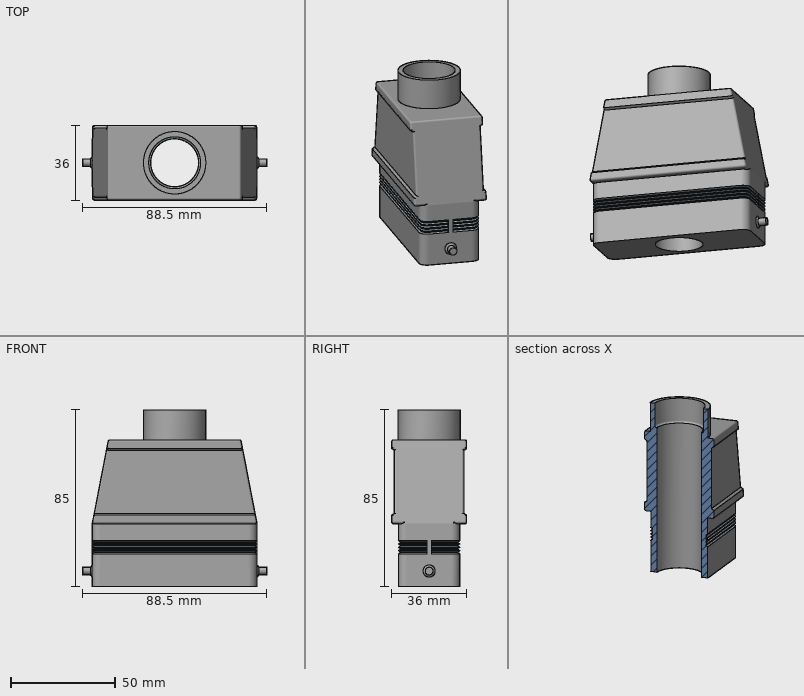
import cadquery as cq

overall_length = 88.5
overall_height = 85.0

body_length = 79.3
body_width = 29.6
body_corner_radius = 4.0

groove_count = 4
groove_start = 15.75
groove_pitch = 1.6
groove_depth = 0.9
groove_floor = 0.4
web_width = 2.3

hood_bottom = 30.2
hood_top = 70.5
hood_top_length = 63.7
hood_width = 36.0
panel_depth = 1.2
panel_bottom = 34.3
panel_top = 66.4
panel_slope_height = 0.9
hood_edge_radius = 1.0

tube_diameter = 30.0
bore_diameter = 25.0
hole_diameter = 22.9
bore_depth = 12.2
bore_fillet = 0.8

pin_height = 7.5
pin_diameter = 3.7
pin_root_diameter = 5.8
pin_root_height = 0.8

END_SIDES = (-1, 1)


def make_taper():
    """Full-length wedge: straight below the hood, sloping inwards up to the hood top."""
    outline = [
        (-body_length / 2, 0),
        (body_length / 2, 0),
        (body_length / 2, hood_bottom),
        (hood_top_length / 2, hood_top),
        (-hood_top_length / 2, hood_top),
        (-body_length / 2, hood_bottom),
    ]
    return cq.Workplane("XZ").polyline(outline).close().extrude(hood_width / 2, both=True)


def make_hood(taper):
    """Tapered hood with a shallow recessed panel on each long side and rounded rims."""
    rim = hood_width / 2
    panel = rim - panel_depth
    half = [
        (rim, hood_bottom),
        (rim, panel_bottom),
        (panel, panel_bottom + panel_slope_height),
        (panel, panel_top - panel_slope_height),
        (rim, panel_top),
        (rim, hood_top),
    ]
    mirrored = [(-y, z) for y, z in reversed(half)]
    section = cq.Workplane("YZ").polyline(half + mirrored).close()
    hood = section.extrude(body_length / 2, both=True).intersect(taper)
    ends = hood.faces("<X or >X").edges()
    long_rims = hood.faces("<Z or >Z").edges("|X")
    return hood.newObject(ends.vals() + long_rims.vals()).fillet(hood_edge_radius)


def body_section(z, inset):
    """Rounded rectangle of the lower body at height z, pulled in by inset."""
    return (
        cq.Sketch()
        .rect(body_length - 2 * inset, body_width - 2 * inset)
        .vertices()
        .fillet(body_corner_radius - inset)
        .moved(cq.Location(cq.Vector(0, 0, z)))
    )


def make_body(taper):
    """Rounded lower body that runs up into the hood, flush with its sloping ends."""
    body = cq.Workplane("XY").placeSketch(body_section(0, 0)).extrude(panel_bottom)
    return body.intersect(taper)


def make_groove(bottom):
    """Flat-bottomed V-groove ring around the body, interrupted by a web on each end face."""
    middle = bottom + groove_pitch / 2
    ring = cq.Workplane("XY", origin=(0, 0, bottom)).placeSketch(body_section(0, 0)).extrude(groove_pitch)
    floor = cq.Workplane("XY").placeSketch(body_section(bottom, groove_depth)).extrude(groove_pitch)
    ring = ring.cut(floor)
    for direction in (-1, 1):
        rim = middle + direction * groove_pitch / 2
        floor_edge = middle + direction * groove_floor / 2
        flank = (
            cq.Workplane("XY")
            .placeSketch(body_section(rim, 0), body_section(floor_edge, groove_depth))
            .loft(ruled=True)
        )
        ring = ring.cut(flank)
    web = cq.Workplane("XY", origin=(0, 0, middle)).box(body_length, web_width, groove_pitch)
    return ring.cut(web)


def make_pin(side):
    """Round pin on one end face with a conical root."""
    reach = overall_length / 2
    wall = body_length / 2
    profile = [
        (0, wall - pin_root_height),
        (pin_root_diameter / 2, wall - pin_root_height),
        (pin_root_diameter / 2, wall),
        (pin_diameter / 2, wall + pin_root_height),
        (pin_diameter / 2, reach),
        (0, reach),
    ]
    pin = cq.Workplane("XY").polyline(profile).close().revolve(360, (0, 0), (0, 1))
    return pin.rotate((0, 0, 0), (0, 0, 1), -90 * side).translate((0, 0, pin_height))


def make_entry_cutter():
    """Wide bore with a rounded floor corner, stepping down to the through hole."""
    bore = (
        cq.Workplane("XY", origin=(0, 0, overall_height - bore_depth))
        .circle(bore_diameter / 2)
        .extrude(bore_depth)
        .faces("<Z")
        .edges()
        .fillet(bore_fillet)
    )
    hole = cq.Workplane("XY").circle(hole_diameter / 2).extrude(overall_height)
    return bore.union(hole)


taper = make_taper()
tube = (
    cq.Workplane("XY", origin=(0, 0, panel_bottom))
    .circle(tube_diameter / 2)
    .extrude(overall_height - panel_bottom)
)
result = make_hood(taper).union(make_body(taper)).union(tube)
for index in range(groove_count):
    result = result.cut(make_groove(groove_start + index * groove_pitch))
for side in END_SIDES:
    result = result.union(make_pin(side))
result = result.cut(make_entry_cutter())